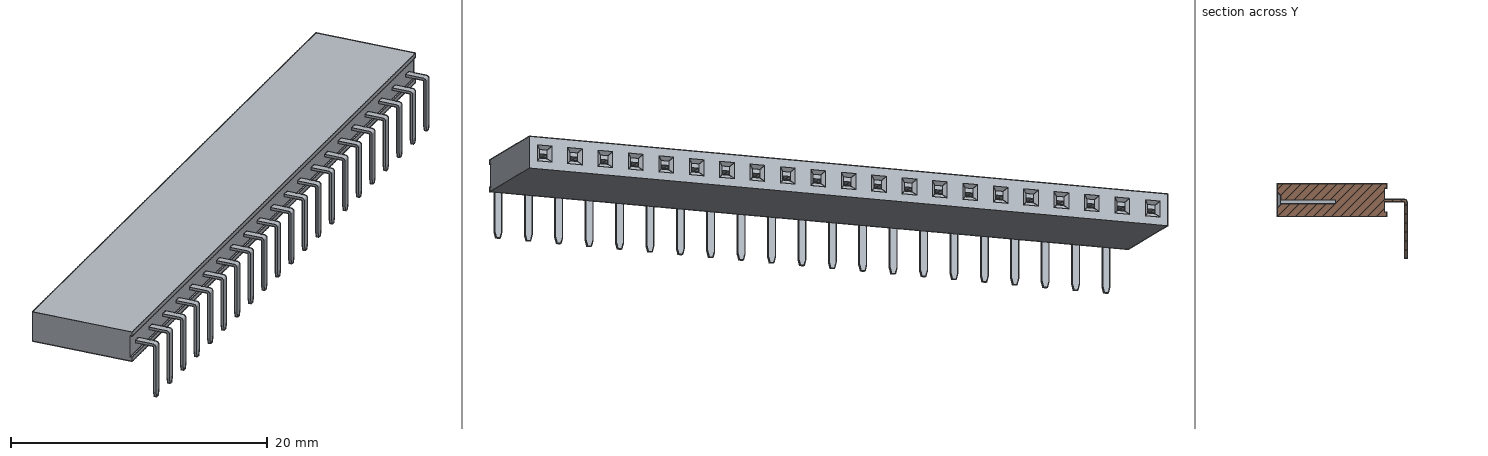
import cadquery as cq

contact_count = 21
length = 53.35
pitch = length / contact_count
depth = 8.55
height = 2.55

channel_depth = 0.15
lip_thickness = 0.4

mouth_width = 1.25
mouth_height = 1.3
floor_width = 0.65
floor_height = 0.7
lead_in_depth = 0.25

slot_width = 0.55
slot_height = 0.25
slot_drop = 0.135
slot_depth = 4.25

overall_depth = 10.15
overall_height = 5.8
pin_width = 0.6
pin_thickness = 0.2
pin_drop = 0.025
pin_root = 0.25
bend_radius = 0.25
tip_length = 0.5
tip_width = 0.3

pin_z = height / 2 - pin_drop
pin_bottom = height - overall_height
contact_ys = [(i - (contact_count - 1) / 2) * pitch for i in range(contact_count)]


def housing():
    """Bar from the front face at X = 0, with the rear channel cut along its full length."""
    bar = cq.Workplane("XY").box(depth, length, height, centered=(False, True, False))
    channel = (
        cq.Workplane("XY")
        .box(channel_depth, length, height - 2 * lip_thickness, centered=(False, True, False))
        .translate((depth - channel_depth, 0, lip_thickness))
    )
    return bar.cut(channel)


def socket():
    """Tapered lead-in with a narrow slot in its floor, centred on Y = 0."""
    lead_in = (
        cq.Workplane("YZ", origin=(0, 0, height / 2))
        .rect(mouth_width, mouth_height)
        .workplane(offset=lead_in_depth)
        .rect(floor_width, floor_height)
        .loft(ruled=True)
    )
    slot = (
        cq.Workplane("YZ", origin=(lead_in_depth, 0, height / 2 - slot_drop))
        .rect(slot_width, slot_height)
        .extrude(slot_depth)
    )
    return lead_in.union(slot)


def pin():
    """Bent flat strip, trimmed to a tapered tip, centred on Y = 0."""
    root_x = depth - channel_depth - pin_root
    top = pin_z + pin_thickness / 2
    strip = (
        cq.Workplane("XZ")
        .moveTo(root_x, top)
        .lineTo(overall_depth, top)
        .lineTo(overall_depth, pin_bottom)
        .lineTo(overall_depth - pin_thickness, pin_bottom)
        .lineTo(overall_depth - pin_thickness, top - pin_thickness)
        .lineTo(root_x, top - pin_thickness)
        .close()
        .extrude(pin_width / 2, both=True)
    )
    strip = strip.edges("|Y and >X and >Z").fillet(bend_radius)
    inner_corner = cq.selectors.NearestToPointSelector(
        (overall_depth - pin_thickness, 0, top - pin_thickness)
    )
    strip = strip.edges("|Y").edges(inner_corner).fillet(bend_radius - pin_thickness)
    outline = (
        cq.Workplane("YZ", origin=(root_x, 0, 0))
        .moveTo(-pin_width / 2, top)
        .lineTo(-pin_width / 2, pin_bottom + tip_length)
        .lineTo(-tip_width / 2, pin_bottom)
        .lineTo(tip_width / 2, pin_bottom)
        .lineTo(pin_width / 2, pin_bottom + tip_length)
        .lineTo(pin_width / 2, top)
        .close()
        .extrude(overall_depth - root_x)
    )
    return strip.intersect(outline)


def at_contacts(shape):
    """Copies of a single-contact shape at every contact position."""
    single = shape.val()
    return cq.Workplane("XY").newObject(
        [cq.Compound.makeCompound([single.translate(cq.Vector(0, y, 0)) for y in contact_ys])]
    )


result = housing().cut(at_contacts(socket())).union(at_contacts(pin()))